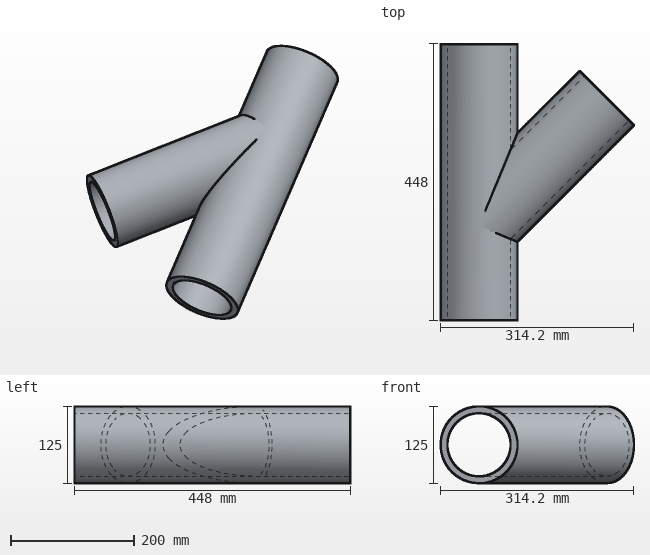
import cadquery as cq

outer_diameter = 125.0
bore_diameter = 102.0

run_length = 448.0
junction_from_front = 153.0

branch_length = 293.5
branch_angle = 45.0


def run_cylinder(diameter):
    """Solid cylinder along Y over the full length of the run."""
    front_end = cq.Workplane("XZ", origin=(0, -junction_from_front, 0))
    return front_end.circle(diameter / 2).extrude(-run_length)


def branch_cylinder(diameter):
    """Solid cylinder from the junction to the open end of the branch."""
    along_run = cq.Workplane("XZ").circle(diameter / 2).extrude(-branch_length)
    return along_run.rotate((0, 0, 0), (0, 0, 1), -branch_angle)


def pipe_junction(diameter):
    """Run and branch cylinders joined into a single Y shape."""
    return run_cylinder(diameter).union(branch_cylinder(diameter))


result = pipe_junction(outer_diameter).cut(pipe_junction(bore_diameter))